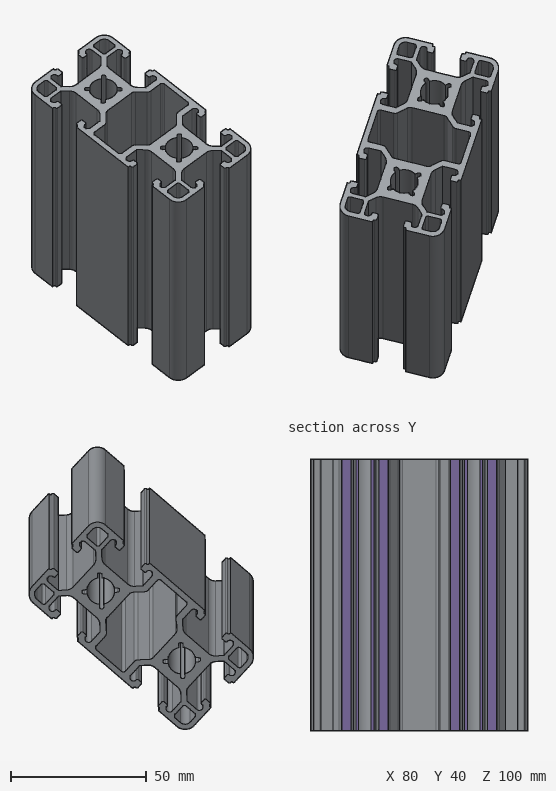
import cadquery as cq

length = 100.0
cell = 40.0
width = 2 * cell
half_cell = cell / 2
cell_centers = [-half_cell, half_cell]
corner_radius = 4.5

mouth_half = 6.3
mouth_depth = 1.0
throat_half = 5.1
lip_half = 7.6
lip_depth = 3.9
lip_rounding = 0.5
slot_half = 10.25
groove_top = 2.0
groove_radius = (slot_half - lip_half) / 2
slot_depth = 11.4
slot_slope = 3.2
slot_floor_radius = 3.5

skin = 2.0
tube_end = 8.1
tube_outer_radius = corner_radius - skin
tube_small_radius = 0.9

bore_radius = 5.1
notch_width = 1.6
notch_reach = 6.9

chamber_skin = 2.15
chamber_neck = 7.2
chamber_neck_y = 11.1
chamber_waist = slot_depth
chamber_waist_y = 7.0
chamber_corner_radius = 1.0
chamber_bend_radius = 2.0


def extrusion():
    """Solid bar with rounded long edges."""
    block = cq.Workplane("XY").rect(width, cell).extrude(length)
    return block.edges("|Z").fillet(corner_radius)


def edges_near(x, y):
    """Selector for the upright edges at (x, y) and (-x, y)."""
    reach = 0.05
    right = cq.selectors.BoxSelector((x - reach, y - reach, 0), (x + reach, y + reach, length))
    left = cq.selectors.BoxSelector((-x - reach, y - reach, 0), (-x + reach, y + reach, length))
    return right + left


def slot_throat():
    """Stepped opening, centred on X = 0 and cut downwards from the face at Y = 0."""
    mouth = cq.Workplane("XY").rect(2 * mouth_half, 2 * mouth_depth).extrude(length)
    throat = cq.Workplane("XY").rect(2 * throat_half, 2 * slot_depth).extrude(length)
    return mouth.union(throat)


def slot_body():
    """Wide part of the slot, with a round-topped groove behind each lip."""
    groove_spring = groove_top + groove_radius
    groove_middle = lip_half + groove_radius
    floor_half = slot_half - slot_slope
    return (
        cq.Workplane("XY")
        .moveTo(-lip_half, -lip_depth)
        .lineTo(-lip_half, -groove_spring)
        .threePointArc((-groove_middle, -groove_top), (-slot_half, -groove_spring))
        .lineTo(-slot_half, -slot_depth + slot_slope)
        .lineTo(-floor_half, -slot_depth)
        .lineTo(floor_half, -slot_depth)
        .lineTo(slot_half, -slot_depth + slot_slope)
        .lineTo(slot_half, -groove_spring)
        .threePointArc((groove_middle, -groove_top), (lip_half, -groove_spring))
        .lineTo(lip_half, -lip_depth)
        .close()
        .extrude(length)
        .edges(edges_near(floor_half, -slot_depth))
        .fillet(slot_floor_radius)
    )


def t_slot():
    """Whole slot, with the edges of both lips and of the mouth steps rounded."""
    slot = slot_throat().union(slot_body())
    lip_edges = (
        edges_near(mouth_half, -mouth_depth)
        + edges_near(throat_half, -mouth_depth)
        + edges_near(throat_half, -lip_depth)
        + edges_near(lip_half, -lip_depth)
    )
    return slot.edges(lip_edges).fillet(lip_rounding)


def place_slot(body, x, y, angle):
    """Cut a slot whose mouth is at (x, y); angle 0 opens towards +Y."""
    slot = t_slot().rotate((0, 0, 0), (0, 0, 1), angle).translate((x, y, 0))
    return body.cut(slot)


def cut_corner_tubes(body):
    """Cut one hollow in each outer corner, its rounded side following the corner."""
    side = tube_end - skin
    center_inset = skin + side / 2
    tube = (
        cq.Workplane("XY")
        .rect(side, side)
        .extrude(length)
        .edges("|Z")
        .edges(">(1, 1, 0)")
        .fillet(tube_outer_radius)
        .edges("|Z")
        .edges("<X or <Y")
        .fillet(tube_small_radius)
        .translate((width / 2 - center_inset, half_cell - center_inset, 0))
    )
    right_pair = tube.union(tube.mirror("XZ"))
    return body.cut(right_pair).cut(right_pair.mirror("YZ"))


def cut_bolt_channel(body, x):
    """Cut the round bore at x together with its notches."""
    channel = cq.Workplane("XY").circle(bore_radius).extrude(length)
    for angle in (45, 135):
        notch_pair = cq.Workplane("XY").slot2D(2 * notch_reach, notch_width).extrude(length)
        channel = channel.union(notch_pair.rotate((0, 0, 0), (0, 0, 1), angle))
    return body.cut(channel.translate((x, 0, 0)))


def cut_middle_chamber(body):
    """Cut the eight-sided chamber on the bar's axis."""
    top = half_cell - chamber_skin
    upper_right = [
        (chamber_waist, chamber_waist_y),
        (chamber_neck, chamber_neck_y),
        (chamber_neck, top),
    ]
    upper = upper_right + [(-x, y) for x, y in reversed(upper_right)]
    lower = [(x, -y) for x, y in reversed(upper)]
    corners = edges_near(chamber_neck, top) + edges_near(chamber_neck, -top)
    bends = (
        edges_near(chamber_neck, chamber_neck_y)
        + edges_near(chamber_neck, -chamber_neck_y)
        + edges_near(chamber_waist, chamber_waist_y)
        + edges_near(chamber_waist, -chamber_waist_y)
    )
    chamber = (
        cq.Workplane("XY")
        .polyline(upper + lower)
        .close()
        .extrude(length)
        .edges(corners)
        .fillet(chamber_corner_radius)
        .edges(bends)
        .fillet(chamber_bend_radius)
    )
    return body.cut(chamber)


result = extrusion()
for cell_x in cell_centers:
    result = place_slot(result, cell_x, half_cell, 0)
    result = place_slot(result, cell_x, -half_cell, 180)
    result = cut_bolt_channel(result, cell_x)
result = place_slot(result, -width / 2, 0, 90)
result = place_slot(result, width / 2, 0, -90)
result = cut_corner_tubes(result)
result = cut_middle_chamber(result)